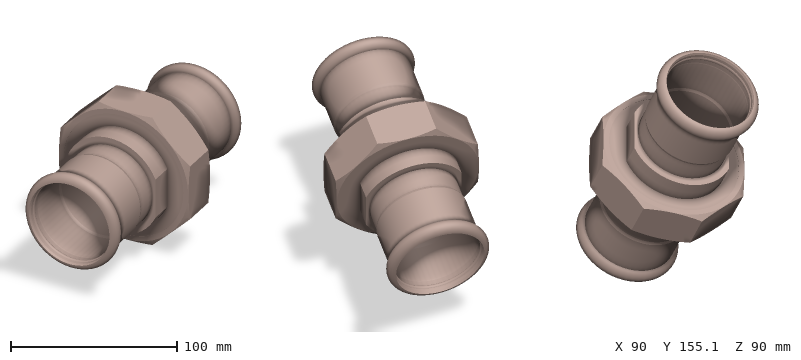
import cadquery as cq
import math

LENGTH = 155.2
HALF_LENGTH = LENGTH / 2

WALL = 1.5
SOCKET_BORE = 54.5
SOCKET_OUTER = SOCKET_BORE + 2 * WALL
NECK_BORE = 53.0
NECK_OUTER = NECK_BORE + 2 * WALL
SOCKET_DEPTH = 36.0
BORE_STEP_DEPTH = 35.0
TAPER_LENGTH = 1.9

BEAD_OUTER = 64.7
BEAD_WIDTH = 9.9
BEAD_RADIUS = BEAD_WIDTH / 2
BEAD_CENTRE_RADIUS = BEAD_OUTER / 2 - BEAD_RADIUS

MOUTH_BORE = 56.0
LEAD_IN_DEPTH = 1.5
CLEARANCE_BORE = 54.7
CLEARANCE_DEPTH = 9.2
CLEARANCE_STEP_DEPTH = 9.9
SEAL_OUTER = 61.0
SEAL_SECTION = 3.6

COLLAR_DIAMETER = 66.2
COLLAR_FLATS = 60.5
COLLAR_END = 26.0

NUT_SIDES = 8
NUT_FLATS = 90.0
NUT_FRONT = -11.9
NUT_BACK = 14.4
NUT_CHAMFER_ANGLE = 30.0
NUT_FACE_DIAMETER = 89.6
FACE_RECESS_DIAMETER = 82.96
FACE_RECESS_DEPTH = 0.2


def cylinder(diameter, start, end):
    """A cylinder about the Y axis between two Y positions."""
    return cq.Workplane("XZ", origin=(0, start, 0)).circle(diameter / 2).extrude(start - end)


def revolve(sketch):
    """Revolve an XY profile about the Y axis."""
    return sketch.close().revolve(360, (0, 0, 0), (0, 1, 0))


def socket_body():
    """The solid outside of the +Y socket: neck, taper, sleeve and bead."""
    taper_end = HALF_LENGTH - SOCKET_DEPTH
    bead_mid = HALF_LENGTH - BEAD_RADIUS
    sleeve = revolve(
        cq.Workplane("XY")
        .moveTo(0, 0)
        .lineTo(NECK_OUTER / 2, 0)
        .lineTo(NECK_OUTER / 2, taper_end - TAPER_LENGTH)
        .lineTo(SOCKET_OUTER / 2, taper_end)
        .lineTo(SOCKET_OUTER / 2, bead_mid)
        .lineTo(0, bead_mid)
    )
    bead = revolve(
        cq.Workplane("XY")
        .moveTo(0, HALF_LENGTH - BEAD_WIDTH)
        .lineTo(BEAD_CENTRE_RADIUS, HALF_LENGTH - BEAD_WIDTH)
        .threePointArc((BEAD_OUTER / 2, bead_mid), (BEAD_CENTRE_RADIUS, HALF_LENGTH))
        .lineTo(0, HALF_LENGTH)
    )
    return sleeve.union(bead)


def socket_bore():
    """The space inside the +Y socket: stepped bore and mouth, narrowed by the round seal ring."""
    bore_step_end = HALF_LENGTH - BORE_STEP_DEPTH
    seal_mid = HALF_LENGTH - BEAD_RADIUS
    seal_radius = SEAL_SECTION / 2
    seal_centre_radius = SEAL_OUTER / 2 - seal_radius
    seal_half_width = math.sqrt(seal_radius**2 - (seal_centre_radius - CLEARANCE_BORE / 2) ** 2)
    return revolve(
        cq.Workplane("XY")
        .moveTo(0, 0)
        .lineTo(NECK_BORE / 2, 0)
        .lineTo(NECK_BORE / 2, bore_step_end - TAPER_LENGTH)
        .lineTo(SOCKET_BORE / 2, bore_step_end)
        .lineTo(SOCKET_BORE / 2, HALF_LENGTH - CLEARANCE_STEP_DEPTH)
        .lineTo(CLEARANCE_BORE / 2, HALF_LENGTH - CLEARANCE_DEPTH)
        .lineTo(CLEARANCE_BORE / 2, seal_mid - seal_half_width)
        .threePointArc(
            (seal_centre_radius - seal_radius, seal_mid),
            (CLEARANCE_BORE / 2, seal_mid + seal_half_width),
        )
        .lineTo(CLEARANCE_BORE / 2, HALF_LENGTH - LEAD_IN_DEPTH)
        .lineTo(MOUTH_BORE / 2, HALF_LENGTH)
        .lineTo(0, HALF_LENGTH)
    )


def both_ends(shape):
    """The shape together with its mirror image at the -Y end."""
    return shape.union(shape.mirror("XZ"))


def collars():
    """Both collars as one bar, with a flat on its +X and -X sides."""
    flats = cq.Workplane("XY").box(COLLAR_FLATS, LENGTH, 2 * COLLAR_DIAMETER)
    return cylinder(COLLAR_DIAMETER, -COLLAR_END, COLLAR_END).intersect(flats)


def nut():
    """The octagonal nut, chamfered at both faces, with a shallow round recess in the -Y face."""
    corner_diameter = NUT_FLATS / math.cos(math.pi / NUT_SIDES)
    width = NUT_BACK - NUT_FRONT
    prism = (
        cq.Workplane("XZ", origin=(0, NUT_FRONT, 0))
        .polygon(NUT_SIDES, corner_diameter)
        .extrude(-width)
        .rotate((0, 0, 0), (0, 1, 0), 180 / NUT_SIDES)
    )
    corner = corner_diameter / 2
    face = NUT_FACE_DIAMETER / 2
    drop = (corner - face) * math.tan(math.radians(NUT_CHAMFER_ANGLE))
    envelope = revolve(
        cq.Workplane("XY")
        .moveTo(0, NUT_FRONT)
        .lineTo(face, NUT_FRONT)
        .lineTo(corner, NUT_FRONT + drop)
        .lineTo(corner, NUT_BACK - drop)
        .lineTo(face, NUT_BACK)
        .lineTo(0, NUT_BACK)
    )
    recess = cylinder(FACE_RECESS_DIAMETER, NUT_FRONT, NUT_FRONT + FACE_RECESS_DEPTH)
    return prism.intersect(envelope).cut(recess)


body = both_ends(socket_body()).union(nut()).union(collars())
result = body.cut(both_ends(socket_bore()))